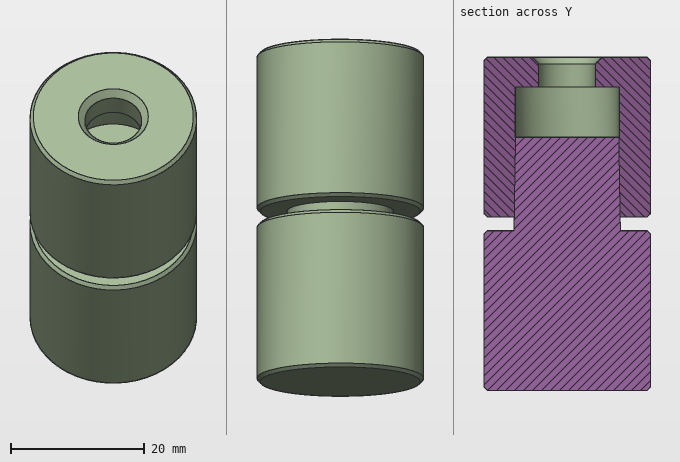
import cadquery as cq
import math

body_diameter = 25.0
body_length = 24.0
gap = 2.0
edge_chamfer = 0.5

guide_diameter = 16.0
guide_collar_length = 1.0
taper_angle = 1.0
spigot_engagement = 12.0

end_wall_thickness = 4.5
end_hole_diameter = 8.5
countersink_depth = 1.0
countersink_angle = 90.0
countersink_diameter = end_hole_diameter + 2 * countersink_depth

pin_shoulder = body_length
taper_start = pin_shoulder + guide_collar_length
bush_bottom = pin_shoulder + gap
bush_top = bush_bottom + body_length
spigot_top = bush_bottom + spigot_engagement
bore_top = bush_top - end_wall_thickness

taper_length = spigot_top - taper_start
spigot_top_radius = guide_diameter / 2 - taper_length * math.tan(math.radians(taper_angle))


def cylinder(radius, bottom, top):
    """Plain cylinder on the Z axis between two heights."""
    return cq.Workplane("XY", origin=(0, 0, bottom)).circle(radius).extrude(top - bottom)


def chamfered_body(bottom):
    """Round body standing at the given height, with both end edges chamfered."""
    return (
        cylinder(body_diameter / 2, bottom, bottom + body_length)
        .faces("<Z or >Z")
        .edges()
        .chamfer(edge_chamfer)
    )


def guide_cone():
    """Slightly tapered cone shared by the spigot and the bore that receives it."""
    return (
        cq.Workplane("XY", origin=(0, 0, taper_start))
        .circle(guide_diameter / 2)
        .extrude(taper_length, taper=taper_angle)
    )


def make_pin():
    """Lower body with a straight collar and a tapered spigot rising from its shoulder."""
    collar = cylinder(guide_diameter / 2, pin_shoulder, taper_start)
    return chamfered_body(0).union(collar).union(guide_cone())


def make_bush():
    """Upper body with a tapered bore, a straight chamber above it and a countersunk end hole."""
    chamber = cylinder(spigot_top_radius, spigot_top, bore_top)
    return (
        chamfered_body(bush_bottom)
        .cut(guide_cone())
        .cut(chamber)
        .faces(">Z")
        .workplane(origin=(0, 0, bush_top))
        .cskHole(end_hole_diameter, countersink_diameter, countersink_angle, end_wall_thickness)
    )


pin = make_pin()
bush = make_bush()

result = cq.Compound.makeCompound([pin.solids().val(), bush.solids().val()])